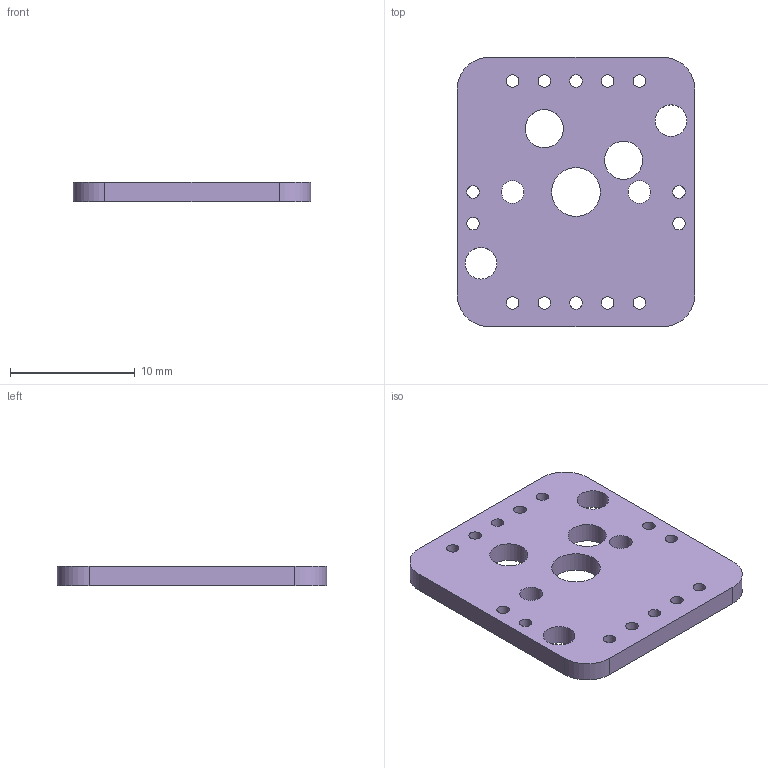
import cadquery as cq

pitch = 2.54
half_pitch = pitch / 2
quarter_pitch = pitch / 4

width = 7.5 * pitch
length = 8.5 * pitch
thickness = 1.6
corner_radius = pitch

pin_diameter = 1.0
guide_diameter = 1.81
mount_diameter = 2.54
contact_diameter = 3.06
center_diameter = 3.9

pins_per_row = 5
row_offset = 3.5 * pitch
side_pin_offset = width / 2 - half_pitch
guide_offset = 2 * pitch
mount_x = 3 * pitch
mount_y = 2 * pitch + quarter_pitch

row_xs = [(i - (pins_per_row - 1) / 2) * pitch for i in range(pins_per_row)]
row_pins = [(x, y) for x in row_xs for y in (-row_offset, row_offset)]
side_pins = [(x, y) for x in (-side_pin_offset, side_pin_offset) for y in (0, -pitch)]
guide_holes = [(-guide_offset, 0), (guide_offset, 0)]
mount_holes = [(mount_x, mount_y), (-mount_x, -mount_y)]
contact_holes = [(-pitch, 2 * pitch), (1.5 * pitch, pitch)]
center_hole = [(0, 0)]


def make_plate():
    """Flat plate with rounded vertical corners, resting on Z = 0."""
    plate = cq.Workplane("XY").box(width, length, thickness, centered=(True, True, False))
    return plate.edges("|Z").fillet(corner_radius)


def drill(body, places, diameter):
    """Cut a round through hole at each (x, y) place."""
    drills = cq.Workplane("XY").pushPoints(places).circle(diameter / 2).extrude(thickness)
    return body.cut(drills)


result = make_plate()
result = drill(result, row_pins + side_pins, pin_diameter)
result = drill(result, guide_holes, guide_diameter)
result = drill(result, mount_holes, mount_diameter)
result = drill(result, contact_holes, contact_diameter)
result = drill(result, center_hole, center_diameter)